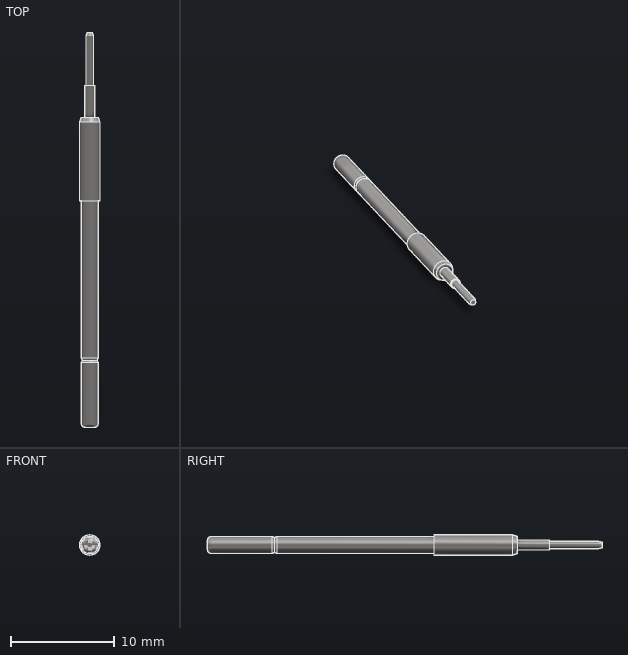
import cadquery as cq
import math

total_length = 38.3
groove_center = 6.5
groove_width = 0.45
sleeve_start = 22.0
sleeve_end = 30.05
collar_end = 33.15

barrel_radius = 0.85
sleeve_radius = 1.0
collar_radius = 0.5
pin_radius = 0.4

nose_radius = 0.42
groove_depth = 0.1
sleeve_bevel_length = 0.45
sleeve_bevel_depth = 0.15
tip_bevel_length = 0.4
tip_bevel_depth = 0.1

nose_offset = nose_radius * math.sqrt(0.5)
nose_mid_radius = barrel_radius - nose_radius + nose_offset
nose_mid_station = nose_radius - nose_offset

profile = (
    cq.Workplane("XY")
    .moveTo(0, 0)
    .lineTo(barrel_radius - nose_radius, 0)
    .threePointArc((nose_mid_radius, nose_mid_station), (barrel_radius, nose_radius))
    .lineTo(barrel_radius, groove_center - groove_width / 2)
    .lineTo(barrel_radius - groove_depth, groove_center)
    .lineTo(barrel_radius, groove_center + groove_width / 2)
    .lineTo(barrel_radius, sleeve_start)
    .lineTo(sleeve_radius, sleeve_start)
    .lineTo(sleeve_radius, sleeve_end - sleeve_bevel_length)
    .lineTo(sleeve_radius - sleeve_bevel_depth, sleeve_end)
    .lineTo(collar_radius, sleeve_end)
    .lineTo(collar_radius, collar_end)
    .lineTo(pin_radius, collar_end)
    .lineTo(pin_radius, total_length - tip_bevel_length)
    .lineTo(pin_radius - tip_bevel_depth, total_length)
    .lineTo(0, total_length)
    .close()
)

result = profile.revolve(360, (0, 0, 0), (0, 1, 0))